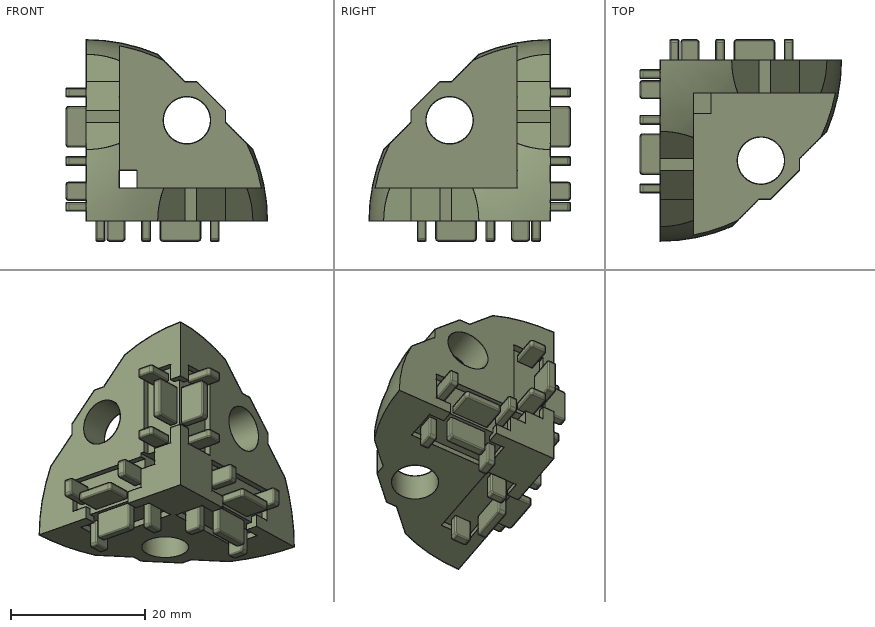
import cadquery as cq

ball_radius = 27
wall = 4.95

hole_diameter = 7.0
hole_center = 15
rim_trim_sum = 35.45
boss_reach = 20.75
boss_rim_sum = 37.2

socket_depth = 0.95
socket_center = 14.05
socket_width = 13.02
socket_near = 1.92
socket_far = 6.95
neck_width = 7.98

tab_reach = 3
tab_thickness = 1.32
long_tab_width = 6.05
long_tab_offset = 2.13
side_tab_width = 2.7
side_tab_offset = 4.45
side_tab_spacing = 10.2
tip_radius = 0.45
edge_radius = 0.2

passage_width = 2.6
passage_front = 8.0
passage_sink = 0.03


def on_all_faces(shape):
    """Repeat a feature of the z = 0 wall on all three walls."""
    return [shape.rotate((0, 0, 0), (1, 1, 1), angle) for angle in (0, 120, 240)]


def on_both_edges(shape):
    """Repeat a feature beside the X edge of the z = 0 wall beside its Y edge."""
    return [shape, shape.mirror(cq.Vector(1, -1, 0))]


def make_rim_cutter():
    """Material removed from the rim of the z = 0 wall."""
    step = rim_trim_sum - boss_reach
    boss_step = boss_rim_sum - boss_reach
    return (
        cq.Workplane("XY")
        .moveTo(rim_trim_sum - ball_radius, ball_radius)
        .lineTo(step, boss_reach)
        .lineTo(boss_step, boss_reach)
        .lineTo(boss_reach, boss_step)
        .lineTo(boss_reach, step)
        .lineTo(ball_radius, rim_trim_sum - ball_radius)
        .lineTo(ball_radius, ball_radius)
        .close()
        .extrude(wall)
        .val()
    )


def make_bolt_hole():
    """Bolt hole through the z = 0 wall."""
    return cq.Workplane("XY").center(hole_center, hole_center).circle(hole_diameter / 2).extrude(wall).val()


def make_socket():
    """T-shaped recess beside the X edge, its neck open to that edge."""
    seat_length = socket_far - socket_near
    seat = cq.Workplane("XY").box(socket_width, seat_length, socket_depth, centered=(True, False, False))
    neck = cq.Workplane("XY").box(neck_width, socket_near, socket_depth, centered=(True, False, False))
    socket = seat.translate((0, socket_near, 0)).union(neck)
    return socket.translate((socket_center, 0, 0)).val()


def make_tab(width):
    """Upright tab, wide along X, with a rounded tip and softened edges."""
    height = tab_reach + socket_depth
    return (
        cq.Workplane("XY")
        .box(width, tab_thickness, height)
        .edges("|Y and <Z")
        .fillet(tip_radius)
        .faces("<Y or >Y")
        .edges("not >Z")
        .fillet(edge_radius)
        .translate((0, 0, socket_depth - height / 2))
    )


def make_tabs():
    """One long tab lying along the edge and two side tabs standing across it."""
    tabs = [make_tab(long_tab_width).translate((socket_center, long_tab_offset, 0)).val()]
    side_tab = make_tab(side_tab_width).rotate((0, 0, 0), (0, 0, 1), 90)
    for side in (-1, 1):
        x = socket_center + side * side_tab_spacing / 2
        tabs.append(side_tab.translate((x, side_tab_offset, 0)).val())
    return tabs


def make_passage():
    """Square passage through the y = 0 wall, continued along the floor of the inner corner."""
    low = wall - passage_sink
    return (
        cq.Workplane("XY")
        .box(passage_width, passage_front, passage_width + passage_sink, centered=False)
        .translate((wall, 0, low))
        .val()
    )


body = cq.Workplane("XY").sphere(ball_radius)
body = body.intersect(cq.Workplane("XY").box(ball_radius, ball_radius, ball_radius, centered=False))
cavity = cq.Workplane("XY").box(ball_radius, ball_radius, ball_radius, centered=False)
body = body.cut(cavity.translate((wall, wall, wall)))

for cutter in [make_rim_cutter(), make_bolt_hole()] + on_both_edges(make_socket()):
    for placed in on_all_faces(cutter):
        body = body.cut(cq.Workplane(placed))
body = body.cut(cq.Workplane(make_passage()))

for tab in make_tabs():
    for edge_tab in on_both_edges(tab):
        for placed in on_all_faces(edge_tab):
            body = body.union(cq.Workplane(placed))

result = body.mirror("XZ")